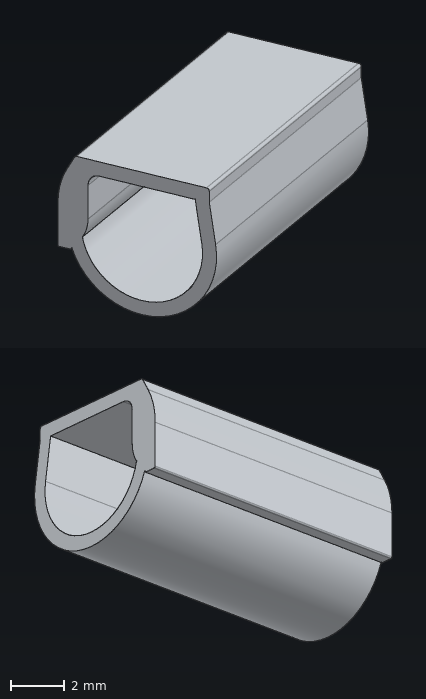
import cadquery as cq
import math

length = 12.0
height = 6.0
width = 6.8
wall = 0.6

outer_radius = 3.2
inner_radius = outer_radius - wall
center_x = width - outer_radius
center_z = outer_radius - height

right_edge_x = 6.49
lean = math.radians(9)

shoulder_start_z = -2.09
shoulder_radius = 3.0
shoulder_angle = math.radians(30)
lug_bottom_z = -3.97
lug_bottom_width = 0.55
notch_z = -3.9
lug_edge_radius = 0.06
top_edge_radius = 0.12

bore_left_x = 1.3
bore_corner_radius = 0.5
bore_bend_z = -2.52
bore_ridge_z = -3.34


def round_part_point(radius, angle):
    """Point on a circle concentric with the round part."""
    return center_x + radius * math.cos(angle), center_z + radius * math.sin(angle)


def left_angle(radius, z):
    """Angle of the left-hand point of a concentric circle at height z."""
    return math.pi - math.asin((z - center_z) / radius)


def lower_arc(profile, radius, end_z):
    """Draw from the leaning right wall around the bottom to the left side at end_z."""
    return profile.threePointArc(
        round_part_point(radius, -math.pi / 2),
        round_part_point(radius, left_angle(radius, end_z)),
    )


def section():
    """Sketch plane facing -Y, at the front end of the tube."""
    return cq.Workplane("XZ", origin=(0, -length / 2, 0))


def outer_body():
    lean_top_z = center_z + (
        outer_radius - (right_edge_x - center_x) * math.cos(lean)
    ) / math.sin(lean)
    shoulder_end_x = shoulder_radius * (1 - math.cos(shoulder_angle))
    shoulder_end_z = shoulder_start_z + shoulder_radius * math.sin(shoulder_angle)
    top_left_x = shoulder_end_x - shoulder_end_z * math.tan(shoulder_angle)

    profile = (
        section()
        .moveTo(top_left_x, 0)
        .lineTo(right_edge_x, 0)
        .lineTo(right_edge_x, lean_top_z)
        .lineTo(*round_part_point(outer_radius, lean))
    )
    profile = (
        lower_arc(profile, outer_radius, notch_z)
        .lineTo(lug_bottom_width, lug_bottom_z)
        .lineTo(0, lug_bottom_z)
        .lineTo(0, shoulder_start_z)
        .tangentArcPoint((shoulder_end_x, shoulder_end_z), relative=False)
        .close()
    )
    body = profile.extrude(-length)
    body = body.faces(">Z").edges("|Y").fillet(top_edge_radius)
    return body.faces("<X").edges("|Y and <Z").fillet(lug_edge_radius)


def bore():
    top_z = -wall
    top_right_x = center_x + (
        inner_radius - (top_z - center_z) * math.sin(lean)
    ) / math.cos(lean)
    ridge = round_part_point(inner_radius, left_angle(inner_radius, bore_ridge_z))

    bend_drop = bore_bend_z - bore_ridge_z
    bend_angle = 2 * math.atan((bore_left_x - ridge[0]) / bend_drop)
    bend_radius = bend_drop / math.sin(bend_angle)
    bend_middle = (
        bore_left_x - bend_radius * (1 - math.cos(bend_angle / 2)),
        bore_bend_z - bend_radius * math.sin(bend_angle / 2),
    )

    profile = (
        section()
        .moveTo(bore_left_x + bore_corner_radius, top_z)
        .lineTo(top_right_x, top_z)
        .lineTo(*round_part_point(inner_radius, lean))
    )
    profile = (
        lower_arc(profile, inner_radius, bore_ridge_z)
        .threePointArc(bend_middle, (bore_left_x, bore_bend_z))
        .lineTo(bore_left_x, top_z - bore_corner_radius)
        .tangentArcPoint((bore_left_x + bore_corner_radius, top_z), relative=False)
        .close()
    )
    return profile.extrude(-length)


result = outer_body().cut(bore())